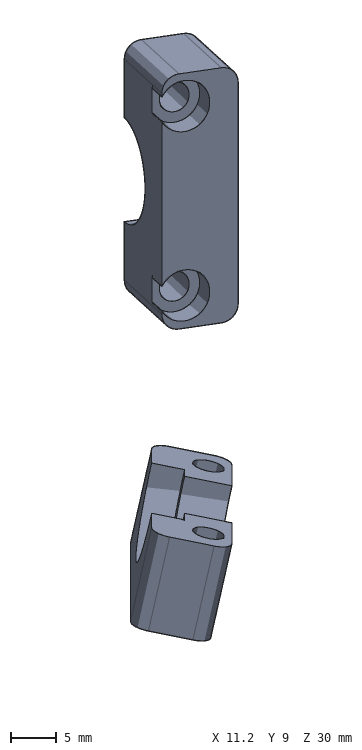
import cadquery as cq

width = 11.15
depth = 9.0
height = 30.0
corner_radius = 2.0

bore_radius = 6.12
recess_radius = 8.3
recess_depth = 3.7

hole_diameter = 3.5
hole_spacing = 22.25
hole_inset = 2.65
counterbore_diameter = 6.0
counterbore_depth = 3.0


def make_block():
    """Block with its four long edges rounded, front face at Y = 0."""
    block = cq.Workplane("XY").box(width, depth, height, centered=(False, False, True))
    return block.edges("|X").fillet(corner_radius)


def y_cylinder(radius, start, end):
    """Cylinder on the Y axis between two Y positions."""
    return cq.Workplane("XZ", origin=(0, start, 0)).circle(radius).extrude(start - end)


def screw_hole(z):
    """Through hole with a counterbore sunk from the +X face."""
    hole = cq.Workplane("YZ").center(hole_inset, z).circle(hole_diameter / 2).extrude(width)
    counterbore = (
        cq.Workplane("YZ", origin=(width - counterbore_depth, 0, 0))
        .center(hole_inset, z)
        .circle(counterbore_diameter / 2)
        .extrude(counterbore_depth)
    )
    return hole.union(counterbore)


result = make_block()
result = result.cut(y_cylinder(bore_radius, 0, depth))
result = result.cut(y_cylinder(recess_radius, depth - recess_depth, depth))
for side in (-1, 1):
    result = result.cut(screw_hole(side * hole_spacing / 2))